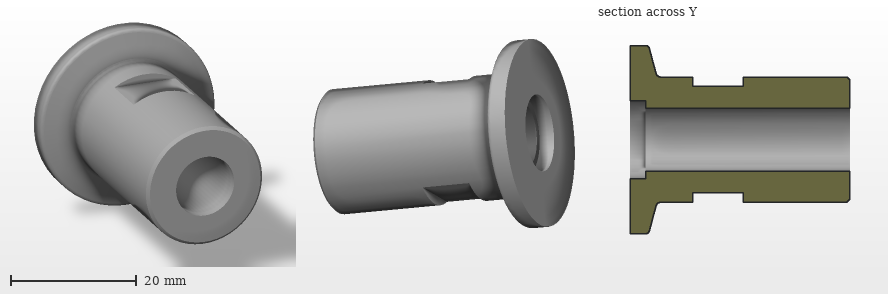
import cadquery as cq
import math

total_length = 35.0
flange_diameter = 30.0
rim_thickness = 3.0
cone_angle = 15.0
rim_round = 0.65
neck_fillet = 0.65
tube_diameter = 20.0
end_chamfer = 0.5

bore_diameter = 10.0
recess_diameter = 12.3
recess_depth = 2.5

flat_spacing = 17.0
flat_start = 10.0
flat_width = 8.0

flange_radius = flange_diameter / 2
tube_radius = tube_diameter / 2
cone_length = (flange_radius - tube_radius) * math.tan(math.radians(cone_angle))
neck_start = rim_thickness + cone_length
flat_depth = (tube_diameter - flat_spacing) / 2


def circle_edge_at(x, radius):
    """Box selector around the circular edge of this radius in the plane X = x."""
    margin = 0.1
    reach = radius + margin
    return cq.selectors.BoxSelector(
        (x - margin, -reach, -reach), (x + margin, reach, reach), boundingbox=True
    )


def flanged_tube():
    """Solid of revolution: rim, conical flange back and tube, with blended corners."""
    body = (
        cq.Workplane("XY")
        .moveTo(0, 0)
        .lineTo(0, flange_radius)
        .lineTo(rim_thickness, flange_radius)
        .lineTo(neck_start, tube_radius)
        .lineTo(total_length, tube_radius)
        .lineTo(total_length, 0)
        .close()
        .revolve(360, (0, 0, 0), (1, 0, 0))
    )
    body = body.edges(circle_edge_at(rim_thickness, flange_radius)).fillet(rim_round)
    body = body.edges(circle_edge_at(neck_start, tube_radius)).fillet(neck_fillet)
    return body.faces(">X").edges().chamfer(end_chamfer)


def bore_and_recess():
    """Through bore with the wider centring recess at the flange face."""
    bore = cq.Workplane("YZ").circle(bore_diameter / 2).extrude(total_length)
    recess = cq.Workplane("YZ").circle(recess_diameter / 2).extrude(recess_depth)
    return bore.union(recess)


def wrench_flat_cut(side):
    """Block that cuts one flat; side is +1 for the top and -1 for the bottom."""
    return cq.Workplane("XY").box(flat_width, tube_diameter, flat_depth).translate(
        (flat_start + flat_width / 2, 0, side * (flat_spacing + flat_depth) / 2)
    )


flange_body = flanged_tube().cut(bore_and_recess())
for side in (1, -1):
    flange_body = flange_body.cut(wrench_flat_cut(side))

result = cq.Compound.makeCompound([flange_body.val()])